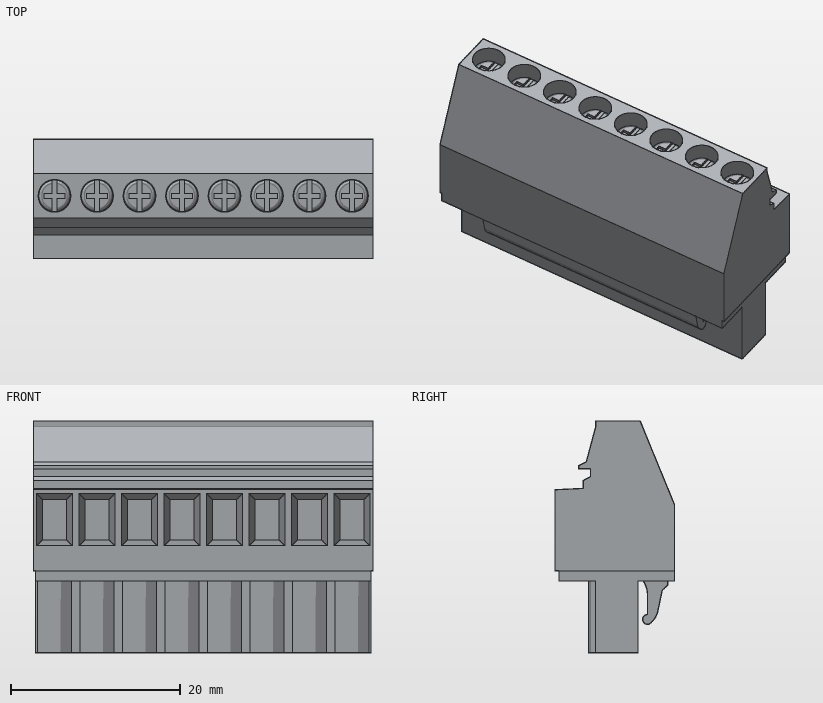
import cadquery as cq

POLE_COUNT = 8
LENGTH = 40.0
PITCH = LENGTH / POLE_COUNT
POLE_CENTRES = [(i + 0.5) * PITCH for i in range(POLE_COUNT)]

HEIGHT = 27.3
FLANGE_BOTTOM = 8.45
BODY_BOTTOM = 9.65
REAR_SLOPE_START = 17.45
LEDGE_FRONT_TOP = 19.2
LEDGE_REAR_TOP = 19.35

DEPTH = 14.1
TOP_FRONT = 4.8
TOP_REAR = 10.05

CHIMNEY_STEP_HEIGHT = 26.65
LIP_ROOT_Y, LIP_ROOT_Z = 3.7, 22.5
LIP_TIP_Y = 2.8
LIP_TOP, LIP_BOTTOM = 22.05, 21.65
GROOVE_Y = 4.15
GROOVE_BOTTOM = 20.7
STEP_Y, STEP_TOP = 3.3, 20.3

END_INSET = 0.25
FLANGE_FRONT = 0.5
PLUG_FRONT = 4.75
PLUG_REAR = 9.8
LOBE_WIDTH = 4.05
LOBE_BULGE = 0.85

LATCH_LENGTH = LENGTH - 2 * PITCH
LATCH_REAR = 13.3
LATCH_SHOULDER_Z = 7.95
LATCH_NECK = (12.65, 7.35)
LATCH_BEND_START = (12.1, 4.7)
LATCH_BEND_MIDDLE = (11.7, 4.0)
LATCH_TIP_START = (11.1, 3.35)
LATCH_TIP_MIDDLE = (10.45, 3.55)
LATCH_FRONT = 10.9
LATCH_TIP_TOP = 4.5
LATCH_ROOT_BOTTOM = 6.8
LATCH_ROOT_MIDDLE = (10.75, 7.65)
LATCH_ROOT_FRONT = 10.4

FUNNEL_WIDTH = 4.2
FUNNEL_BOTTOM, FUNNEL_TOP = 12.6, 18.7
FUNNEL_HEIGHT = FUNNEL_TOP - FUNNEL_BOTTOM
FUNNEL_TAPER = 0.7
FUNNEL_DEPTH = 2.4

SCREW_Y = 7.4
HOLE_DIAMETER = 3.85
HEAD_DIAMETER = 3.7
SCREW_RECESS = 1.85
HEAD_HEIGHT = 1.6
HEAD_ROUND = 0.35
SLOT_WIDTH = 0.6
SHORT_SLOT_LENGTH = 2.45
SLOT_DEPTH = 0.3
SCREW_TOP = HEIGHT - SCREW_RECESS
SCREW_BOTTOM = SCREW_TOP - HEAD_HEIGHT


def make_body_block():
    """Main block: a (Y, Z) profile drawn out along X."""
    return (
        cq.Workplane("YZ")
        .moveTo(0, BODY_BOTTOM)
        .lineTo(DEPTH, BODY_BOTTOM)
        .lineTo(DEPTH, REAR_SLOPE_START)
        .lineTo(TOP_REAR, HEIGHT)
        .lineTo(TOP_FRONT, HEIGHT)
        .lineTo(TOP_FRONT, CHIMNEY_STEP_HEIGHT)
        .lineTo(LIP_ROOT_Y, LIP_ROOT_Z)
        .lineTo(LIP_TIP_Y, LIP_TOP)
        .lineTo(LIP_TIP_Y, LIP_BOTTOM)
        .lineTo(GROOVE_Y, LIP_BOTTOM)
        .lineTo(GROOVE_Y, GROOVE_BOTTOM)
        .lineTo(STEP_Y, STEP_TOP)
        .lineTo(STEP_Y, LEDGE_REAR_TOP)
        .lineTo(0, LEDGE_FRONT_TOP)
        .close()
        .extrude(LENGTH)
    )


def make_flange():
    """Plate under the body, set in from its ends and front."""
    return cq.Workplane("XY").box(
        LENGTH - 2 * END_INSET, DEPTH - FLANGE_FRONT, BODY_BOTTOM - FLANGE_BOTTOM, centered=False
    ).translate((END_INSET, FLANGE_FRONT, FLANGE_BOTTOM))


def make_plug():
    """Plug under the flange, with one rounded lobe per pole on its front."""
    outline = cq.Workplane("XY").moveTo(END_INSET, PLUG_REAR).lineTo(END_INSET, PLUG_FRONT)
    for x in POLE_CENTRES:
        outline = outline.lineTo(x - LOBE_WIDTH / 2, PLUG_FRONT).threePointArc(
            (x, PLUG_FRONT - LOBE_BULGE), (x + LOBE_WIDTH / 2, PLUG_FRONT)
        )
    return (
        outline.lineTo(LENGTH - END_INSET, PLUG_FRONT)
        .lineTo(LENGTH - END_INSET, PLUG_REAR)
        .close()
        .extrude(FLANGE_BOTTOM)
    )


def make_latch():
    """Hook that hangs from the flange; its (Y, Z) profile is drawn out along X."""
    return (
        cq.Workplane("YZ", origin=((LENGTH - LATCH_LENGTH) / 2, 0, 0))
        .moveTo(LATCH_REAR, FLANGE_BOTTOM)
        .lineTo(LATCH_REAR, LATCH_SHOULDER_Z)
        .lineTo(*LATCH_NECK)
        .lineTo(*LATCH_BEND_START)
        .threePointArc(LATCH_BEND_MIDDLE, LATCH_TIP_START)
        .threePointArc(LATCH_TIP_MIDDLE, (LATCH_FRONT, LATCH_TIP_TOP))
        .lineTo(LATCH_FRONT, LATCH_ROOT_BOTTOM)
        .threePointArc(LATCH_ROOT_MIDDLE, (LATCH_ROOT_FRONT, FLANGE_BOTTOM))
        .close()
        .extrude(LATCH_LENGTH)
    )


def make_funnel(x):
    """Void of one wire entry, narrowing evenly from the front face inwards."""
    middle = (FUNNEL_BOTTOM + FUNNEL_TOP) / 2
    return (
        cq.Workplane("XZ", origin=(x, 0, middle))
        .rect(FUNNEL_WIDTH, FUNNEL_HEIGHT)
        .workplane(offset=-FUNNEL_DEPTH)
        .rect(FUNNEL_WIDTH - 2 * FUNNEL_TAPER, FUNNEL_HEIGHT - 2 * FUNNEL_TAPER)
        .loft(ruled=True)
    )


def make_screw_hole(x):
    """Void of one blind screw hole; the screw rests on its floor."""
    return (
        cq.Workplane("XY", origin=(x, SCREW_Y, SCREW_BOTTOM))
        .circle(HOLE_DIAMETER / 2)
        .extrude(HEIGHT - SCREW_BOTTOM)
    )


def make_housing():
    """Block, flange, plug and latch in one piece, with a funnel and a screw hole per pole."""
    housing = make_body_block().union(make_flange()).union(make_plug()).union(make_latch())
    for x in POLE_CENTRES:
        housing = housing.cut(make_funnel(x)).cut(make_screw_hole(x))
    return housing


def make_screw(x):
    """Round-edged screw head with a long slot along Y crossed by a short one along X."""
    head = (
        cq.Workplane("XY", origin=(x, SCREW_Y, SCREW_BOTTOM))
        .circle(HEAD_DIAMETER / 2)
        .extrude(HEAD_HEIGHT)
        .faces(">Z")
        .edges()
        .fillet(HEAD_ROUND)
    )
    top = cq.Workplane("XY", origin=(x, SCREW_Y, SCREW_TOP))
    long_slot = top.rect(SLOT_WIDTH, HEAD_DIAMETER).extrude(-SLOT_DEPTH)
    short_slot = top.rect(SHORT_SLOT_LENGTH, SLOT_WIDTH).extrude(-SLOT_DEPTH)
    return head.cut(long_slot).cut(short_slot)


housing = make_housing()
screws = [make_screw(x) for x in POLE_CENTRES]

result = cq.Compound.makeCompound([housing.val(), *[screw.val() for screw in screws]])